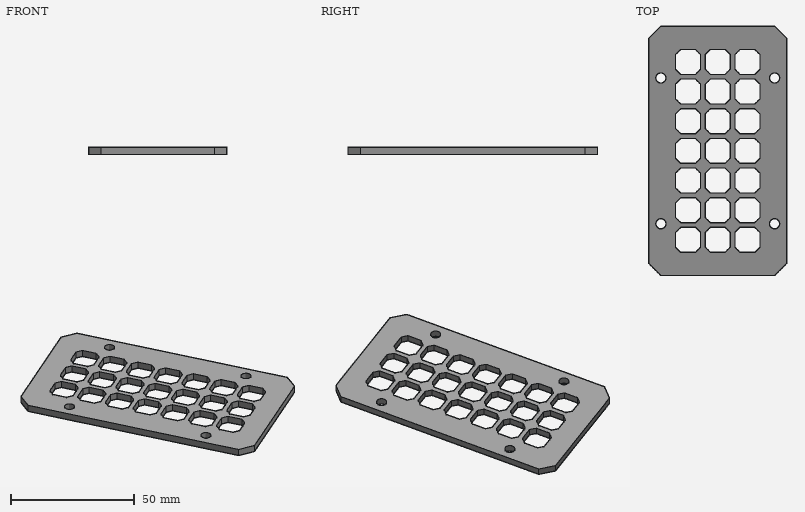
import cadquery as cq

plate_width = 56.0
plate_length = 101.0
plate_thickness = 3.0
plate_corner_chamfer = 5.0

window_size = 10.0
window_corner_chamfer = 2.0
window_pitch = 12.0
window_columns = 3
window_rows = 7

hole_diameter = 4.0
hole_edge_distance = 5.0
hole_spacing_x = plate_width - 2 * hole_edge_distance
hole_spacing_y = 59.0


def chamfered_block(width, length, corner_chamfer):
    """Block of plate thickness standing on Z = 0, with its vertical edges chamfered."""
    block = cq.Workplane("XY").box(width, length, plate_thickness, centered=(True, True, False))
    return block.edges("|Z").chamfer(corner_chamfer)


def cut_windows(plate):
    """Cut the grid of chamfered square windows through the plate."""
    window = chamfered_block(window_size, window_size, window_corner_chamfer).val()
    windows = (
        cq.Workplane("XY")
        .rarray(window_pitch, window_pitch, window_columns, window_rows)
        .eachpoint(lambda location: window.moved(location))
    )
    return plate.cut(windows)


def drill_mounting_holes(plate):
    """Drill the four mounting holes through the plate."""
    return (
        plate.faces(">Z")
        .workplane(origin=(0, 0, plate_thickness))
        .rarray(hole_spacing_x, hole_spacing_y, 2, 2)
        .hole(hole_diameter)
    )


plate = chamfered_block(plate_width, plate_length, plate_corner_chamfer)
plate = cut_windows(plate)
result = drill_mounting_holes(plate)